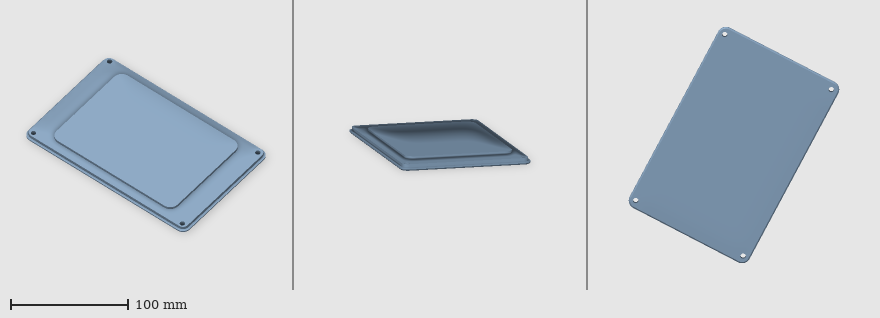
import cadquery as cq

length = 177.1
width = 115.8
flange_height = 2.5
flange_corner_radius = 7.3
flange_chamfer = 1.2

body_inset = 2.1
body_top = 5.5

pad_length = 132.8
pad_width = 95.1
pad_corner_radius = 8.1
total_height = 8.0

hole_diameter = 4.6
hole_x = 81.6
hole_y = 51.9
offset_hole_y = 51.0
hole_centers = [
    (-hole_x, -hole_y),
    (hole_x, -hole_y),
    (-hole_x, hole_y),
    (hole_x, offset_hole_y),
]


def rounded_plate(size_x, size_y, corner_radius, bottom, top):
    """Centered plate with rounded corners between two heights."""
    plate = cq.Workplane("XY").workplane(offset=bottom).rect(size_x, size_y).extrude(top - bottom)
    return plate.edges("|Z").fillet(corner_radius)


flange = rounded_plate(length, width, flange_corner_radius, 0, flange_height)
flange = flange.faces("<Z").edges().chamfer(flange_chamfer)

body = rounded_plate(
    length - 2 * body_inset,
    width - 2 * body_inset,
    flange_corner_radius - body_inset,
    flange_height,
    body_top,
)

pad = rounded_plate(pad_length, pad_width, pad_corner_radius, body_top, total_height)

holes = cq.Workplane("XY").pushPoints(hole_centers).circle(hole_diameter / 2).extrude(total_height)

result = flange.union(body).union(pad).cut(holes)